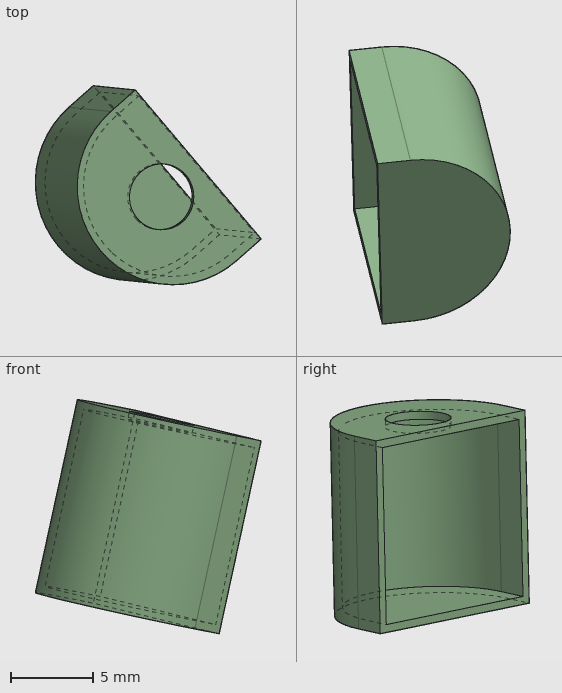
import cadquery as cq

height = 12.0
width = 12.0
side_length = 2.0
wall = 0.5
hole_diameter = 4.0
hole_from_face = 3.0

turn_about_x = -8.54
turn_about_y = 8.94
turn_about_z = -49.81


def d_shaped_block(radius, bottom, block_height):
    """Upright block with a flat face at +Y and a half-round back centred on the origin."""
    return (
        cq.Workplane("XY", origin=(0, 0, bottom))
        .moveTo(-radius, side_length)
        .lineTo(radius, side_length)
        .lineTo(radius, 0)
        .threePointArc((0, -radius), (-radius, 0))
        .close()
        .extrude(block_height)
    )


outer_radius = width / 2
body = d_shaped_block(outer_radius, 0, height)
cavity = d_shaped_block(outer_radius - wall, wall, height - 2 * wall)
housing = body.cut(cavity)

top_hole = (
    cq.Workplane("XY", origin=(0, side_length - hole_from_face, height - wall))
    .circle(hole_diameter / 2)
    .extrude(wall)
)
housing = housing.cut(top_hole)

origin = (0, 0, 0)
leaning = (
    housing
    .rotate(origin, (1, 0, 0), turn_about_x)
    .rotate(origin, (0, 1, 0), turn_about_y)
    .rotate(origin, (0, 0, 1), turn_about_z)
)
result = leaning.translate(leaning.val().BoundingBox().center.multiply(-1))